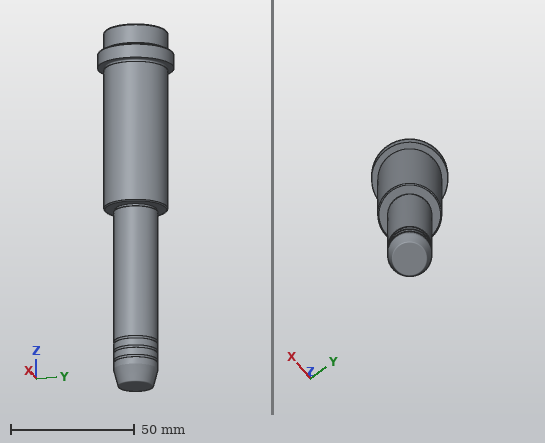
import cadquery as cq
import math

total_length = 150.0
body_bottom = 75.0
flange_bottom = 135.0
flange_top = 141.0
tip_length = 7.0

body_radius = 13.0
flange_radius = 15.5
shank_radius = 9.0

edge_chamfer = 0.5
tip_fillet = 0.5

relief_width = 1.0
relief_depth = 0.5

groove_radius = 0.5
groove_width = 2 * groove_radius
shank_groove_count = 3
shank_groove_pitch = 4.0
first_shank_groove_bottom = 10.0

tip_angle = math.radians(15.0)


def turn(profile):
    """Revolve a half profile, drawn in the XZ plane, once around the Z axis."""
    return profile.revolve(360, (0, 0, 0), (0, 1, 0))


def make_pin():
    """Stepped pin with its chamfers, shank relief and tapered, rounded tip."""
    tip_radius = shank_radius - tip_length * math.tan(tip_angle)
    relief_radius = shank_radius - relief_depth
    outline = [
        (0, 0),
        (tip_radius, 0),
        (shank_radius, tip_length),
        (shank_radius, body_bottom - relief_width),
        (relief_radius, body_bottom - relief_width),
        (relief_radius, body_bottom),
        (body_radius - edge_chamfer, body_bottom),
        (body_radius, body_bottom + edge_chamfer),
        (body_radius, flange_bottom),
        (flange_radius, flange_bottom),
        (flange_radius, flange_top - edge_chamfer),
        (flange_radius - edge_chamfer, flange_top),
        (body_radius, flange_top),
        (body_radius, total_length - edge_chamfer),
        (body_radius - edge_chamfer, total_length),
        (0, total_length),
    ]
    profile = cq.Workplane("XZ").polyline([(-radius, height) for radius, height in outline]).close()
    return turn(profile).faces("<Z").edges().fillet(tip_fillet)


def groove_cutter(surface_radius, bottom):
    """Half-round ring that cuts a groove into a cylinder of the given radius."""
    middle = bottom + groove_radius
    top = bottom + groove_width
    floor_radius = surface_radius - groove_radius
    profile = (
        cq.Workplane("XZ")
        .moveTo(-surface_radius, bottom)
        .threePointArc((-floor_radius, middle), (-surface_radius, top))
        .close()
    )
    return turn(profile)


def cut_flange_grooves(pin):
    """Groove the body directly below and above the flange."""
    for bottom in (flange_bottom - groove_width, flange_top):
        pin = pin.cut(groove_cutter(body_radius, bottom))
    return pin


def cut_shank_grooves(pin):
    """Row of evenly spaced grooves just above the tip."""
    for index in range(shank_groove_count):
        bottom = first_shank_groove_bottom + index * shank_groove_pitch
        pin = pin.cut(groove_cutter(shank_radius, bottom))
    return pin


result = cut_shank_grooves(cut_flange_grooves(make_pin()))